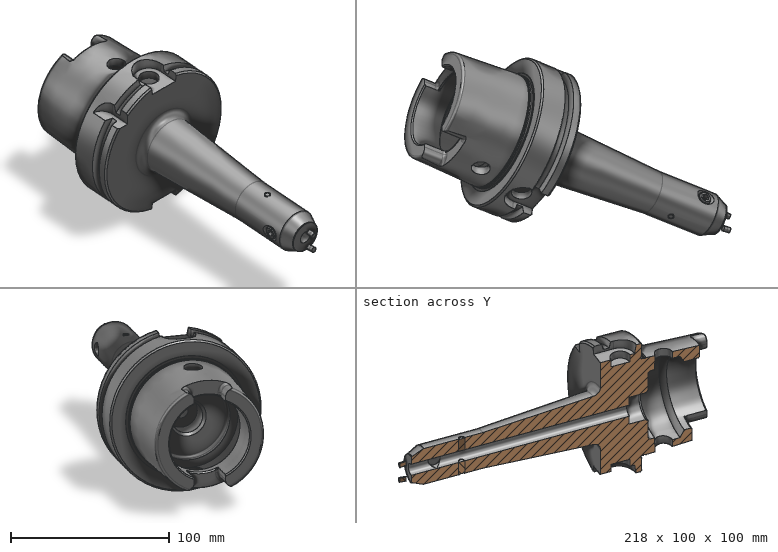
import cadquery as cq
import math


ABOVE = 1
BELOW = -1
COS_45 = math.sqrt(0.5)

SHANK_LENGTH = 50.0
SHANK_TIP_DIA = 71.7
SHANK_BASE_DIA = 75.9
SHANK_TIP_ROUND = 1.5

NECK_START = -2.8
NECK_FLOOR_START = -2.2
NECK_FLOOR_END = -1.5
NECK_END = -0.9
NECK_DEPTH = 0.5
FACE_RELIEF_DIA = 79.4
FACE_RELIEF_DEPTH = 0.5

FLANGE_DIA = 100.0
FLANGE_WIDTH = 29.0
FLANGE_CHAMFER = 1.0
GROOVE_START = 16.8
GROOVE_FLOOR_START = 18.0
GROOVE_FLOOR_END = 21.8
GROOVE_END = 23.0
GROOVE_DIA = 92.2

STEM_FILLET = 5.0
STEM_CONE_START = FLANGE_WIDTH + STEM_FILLET
STEM_BASE_DIA = 38.0
STEM_CONE_END = 110.3
STEM_DIA = 28.1
NOSE_EDGE_WIDTH = 0.7
NOSE_EDGE_DEPTH = 0.2
NOSE_START = 152.0
NOSE_END = 160.0
NOSE_DIA = 20.7
NOSE_RIM = 0.7

CLAMP_BORE_DIA = 52.8
CLAMP_BORE_CHAMFER = 0.9
CLAMP_BORE_FLOOR = -4.4
CLAMP_FLOOR_FILLET = 1.7
UNDERCUT_DIA = 63.0
UNDERCUT_START = -29.2
UNDERCUT_END = -8.7
UNDERCUT_ANGLE = 60
SOCKET_DIA = 20.5
SOCKET_CHAMFER = 1.7
SOCKET_END = 8.7
TOOL_BORE_DIA = 8.3

DRIVE_SLOT_WIDTH = 20.7
DRIVE_WALL_ROUND = 5.0
DRIVE_SHOULDER_HEIGHT = 32.5
DRIVE_FLOOR_FILLET = 1.7
DRIVE_FLOOR_CHAMFER = 0.9
UPPER_SLOT_LENGTH = 10.0
LOWER_SLOT_LENGTH = 15.3

ACCESS_HOLE_DIA = 11.8
ACCESS_HOLE_X = -15.0

KEY_SLOT_WIDTH = 19.6
KEY_SLOT_X = 15.0
KEY_SLOT_FLOOR = 43.5
KEY_SLOT_DRAFT = 10
KEY_HOLE_DIA = 12.9
KEY_HOLE_DEPTH = 5.5

NOTCH_OFFSET = 31.2
NOTCH_ROUND = 9.4
NOTCH_ROUND_X = 15.0

SCREW_X = 142.1
SCREW_DIA = 8.3
SCREW_TIP = TOOL_BORE_DIA / 2
SCREW_TOP = 13.7
SCREW_CHAMFER = 0.7
SCREW_HEX = 4.0
SCREW_HEX_DEPTH = 4.0
SINK_DIA = 12.0

PLUG_X = 125.0
PLUG_DIA = 4.0
PLUG_TOP = 13.7
PLUG_CHAMFER = 0.5

PIN_END = 218 - SHANK_LENGTH
PIN_LENGTH = 4.5
PIN_DIA = 3.5
PIN_OFFSET = 5.9
PIN_TILT = 6


def turn(profile):
    """Solid of revolution from an (X, radius) outline."""
    return profile.close().revolve(360, (0, 0, 0), (1, 0, 0))


def holder_blank():
    tip = SHANK_TIP_DIA / 2
    base = SHANK_BASE_DIA / 2
    relief = FACE_RELIEF_DIA / 2
    flange = FLANGE_DIA / 2
    groove = GROOVE_DIA / 2
    stem_base = STEM_BASE_DIA / 2
    stem = STEM_DIA / 2
    nose = NOSE_DIA / 2
    tip_round_rest = SHANK_TIP_ROUND * (1 - COS_45)
    fillet_rest = STEM_FILLET * (1 - COS_45)
    return turn(
        cq.Workplane("XZ")
        .moveTo(-SHANK_LENGTH, 0)
        .lineTo(-SHANK_LENGTH, tip - SHANK_TIP_ROUND)
        .threePointArc(
            (-SHANK_LENGTH + tip_round_rest, tip - tip_round_rest),
            (-SHANK_LENGTH + SHANK_TIP_ROUND, tip),
        )
        .lineTo(NECK_START, base)
        .lineTo(NECK_FLOOR_START, base - NECK_DEPTH)
        .lineTo(NECK_FLOOR_END, base - NECK_DEPTH)
        .lineTo(NECK_END, base)
        .lineTo(FACE_RELIEF_DEPTH, base)
        .lineTo(FACE_RELIEF_DEPTH, relief)
        .lineTo(0, relief)
        .lineTo(0, flange - FLANGE_CHAMFER)
        .lineTo(FLANGE_CHAMFER, flange)
        .lineTo(GROOVE_START, flange)
        .lineTo(GROOVE_FLOOR_START, groove)
        .lineTo(GROOVE_FLOOR_END, groove)
        .lineTo(GROOVE_END, flange)
        .lineTo(FLANGE_WIDTH - FLANGE_CHAMFER, flange)
        .lineTo(FLANGE_WIDTH, flange - FLANGE_CHAMFER)
        .lineTo(FLANGE_WIDTH, stem_base + STEM_FILLET)
        .threePointArc(
            (FLANGE_WIDTH + fillet_rest, stem_base + fillet_rest),
            (STEM_CONE_START, stem_base),
        )
        .lineTo(STEM_CONE_END, stem)
        .lineTo(NOSE_START - NOSE_EDGE_WIDTH, stem)
        .lineTo(NOSE_START, stem - NOSE_EDGE_DEPTH)
        .lineTo(NOSE_END - NOSE_RIM, nose)
        .lineTo(NOSE_END, nose)
        .lineTo(NOSE_END, 0)
    )


def axial_bores():
    """Stepped cavity: undercut clamping bore, socket and tool bore."""
    clamp = CLAMP_BORE_DIA / 2
    undercut = UNDERCUT_DIA / 2
    shoulder_length = (undercut - clamp) / math.tan(math.radians(UNDERCUT_ANGLE))
    fillet_rest = CLAMP_FLOOR_FILLET * (1 - COS_45)
    socket = SOCKET_DIA / 2
    tool = TOOL_BORE_DIA / 2
    return turn(
        cq.Workplane("XZ")
        .moveTo(-SHANK_LENGTH, 0)
        .lineTo(-SHANK_LENGTH, clamp + CLAMP_BORE_CHAMFER)
        .lineTo(-SHANK_LENGTH + CLAMP_BORE_CHAMFER, clamp)
        .lineTo(UNDERCUT_START, clamp)
        .lineTo(UNDERCUT_START + shoulder_length, undercut)
        .lineTo(UNDERCUT_END, undercut)
        .lineTo(UNDERCUT_END, clamp)
        .lineTo(CLAMP_BORE_FLOOR - CLAMP_FLOOR_FILLET, clamp)
        .threePointArc(
            (CLAMP_BORE_FLOOR - fillet_rest, clamp - fillet_rest),
            (CLAMP_BORE_FLOOR, clamp - CLAMP_FLOOR_FILLET),
        )
        .lineTo(CLAMP_BORE_FLOOR, socket + SOCKET_CHAMFER)
        .lineTo(CLAMP_BORE_FLOOR + SOCKET_CHAMFER, socket)
        .lineTo(SOCKET_END, socket)
        .lineTo(SOCKET_END, tool)
        .lineTo(NOSE_END, tool)
        .lineTo(NOSE_END, 0)
    )


def drive_slot(length):
    """Upper drive slot; it opens into the clamping bore and runs out through the shank."""
    half = DRIVE_SLOT_WIDTH / 2
    round_start = DRIVE_SHOULDER_HEIGHT - DRIVE_WALL_ROUND
    round_end = half + DRIVE_WALL_ROUND
    round_mid = round_end - DRIVE_WALL_ROUND * COS_45
    round_mid_height = round_start + DRIVE_WALL_ROUND * COS_45
    outside = SHANK_BASE_DIA / 2
    top = FLANGE_DIA / 2
    slot = (
        cq.Workplane("YZ", origin=(-SHANK_LENGTH, 0, 0))
        .moveTo(-half, 0)
        .lineTo(-half, round_start)
        .threePointArc((-round_mid, round_mid_height), (-round_end, DRIVE_SHOULDER_HEIGHT))
        .lineTo(-outside, DRIVE_SHOULDER_HEIGHT)
        .lineTo(-outside, top)
        .lineTo(outside, top)
        .lineTo(outside, DRIVE_SHOULDER_HEIGHT)
        .lineTo(round_end, DRIVE_SHOULDER_HEIGHT)
        .threePointArc((round_mid, round_mid_height), (half, round_start))
        .lineTo(half, 0)
        .close()
        .extrude(length)
        .faces(">X")
        .edges()
        .fillet(DRIVE_FLOOR_FILLET)
    )
    floor_x = length - SHANK_LENGTH
    bore = CLAMP_BORE_DIA / 2
    rim = turn(
        cq.Workplane("XZ")
        .moveTo(floor_x, 0)
        .lineTo(floor_x, bore + DRIVE_FLOOR_CHAMFER)
        .lineTo(floor_x + DRIVE_FLOOR_CHAMFER, bore)
        .lineTo(floor_x + DRIVE_FLOOR_CHAMFER, 0)
    )
    rim = rim.intersect(
        cq.Workplane("XY", origin=(floor_x, 0, 0)).rect(bore, DRIVE_SLOT_WIDTH).extrude(FLANGE_DIA)
    )
    return slot.union(rim)


def access_hole():
    return cq.Workplane("XY").center(ACCESS_HOLE_X, 0).circle(ACCESS_HOLE_DIA / 2).extrude(FLANGE_DIA, both=True)


def key_slot():
    """Upper key slot, open through the stem side of the flange, and the blind hole in its floor."""
    half = KEY_SLOT_WIDTH / 2
    open_end = FLANGE_WIDTH + KEY_SLOT_WIDTH
    floor = cq.Workplane("XY", origin=(0, 0, KEY_SLOT_FLOOR))
    slot = (
        floor.moveTo(open_end, -half)
        .lineTo(KEY_SLOT_X, -half)
        .threePointArc((KEY_SLOT_X - half, 0), (KEY_SLOT_X, half))
        .lineTo(open_end, half)
        .close()
        .extrude(FLANGE_DIA / 2 - KEY_SLOT_FLOOR, taper=-KEY_SLOT_DRAFT)
    )
    hole = floor.center(KEY_SLOT_X, 0).circle(KEY_HOLE_DIA / 2).extrude(-KEY_HOLE_DEPTH)
    return slot.union(hole)


def corner_notch():
    outside = FLANGE_DIA / 2
    round_end = NOTCH_ROUND_X - NOTCH_ROUND
    round_rest = NOTCH_ROUND * (1 - COS_45)
    return (
        cq.Workplane("XY", origin=(0, 0, NOTCH_OFFSET))
        .moveTo(FLANGE_WIDTH, -NOTCH_OFFSET)
        .lineTo(NOTCH_ROUND_X, -NOTCH_OFFSET)
        .threePointArc(
            (round_end + round_rest, -NOTCH_OFFSET - round_rest),
            (round_end, -NOTCH_OFFSET - NOTCH_ROUND),
        )
        .lineTo(round_end, -outside)
        .lineTo(FLANGE_WIDTH, -outside)
        .close()
        .extrude(outside)
    )


def screw_hole():
    """Hole across the stem with a 45 degree countersink on the -Y side."""
    hole = cq.Workplane("XZ").center(SCREW_X, 0).circle(SCREW_DIA / 2).extrude(STEM_DIA, both=True)
    sink_bottom = (STEM_DIA - SINK_DIA) / 2
    sink = cq.Solid.makeCone(
        0, STEM_DIA / 2 - sink_bottom, STEM_DIA / 2 - sink_bottom,
        cq.Vector(SCREW_X, -sink_bottom, 0), cq.Vector(0, -1, 0),
    )
    return hole.union(cq.Workplane(sink))


def plug_holes():
    return cq.Workplane("XY").center(PLUG_X, 0).circle(PLUG_DIA / 2).extrude(STEM_DIA, both=True)


def make_holder():
    holder = holder_blank().cut(axial_bores())
    holder = holder.cut(drive_slot(UPPER_SLOT_LENGTH))
    holder = holder.cut(drive_slot(LOWER_SLOT_LENGTH).mirror("XY"))
    holder = holder.cut(access_hole())
    holder = holder.cut(key_slot()).cut(key_slot().mirror("XY"))
    holder = holder.cut(corner_notch())
    holder = holder.cut(screw_hole())
    return holder.cut(plug_holes())


def make_screw():
    return (
        cq.Workplane("XZ", origin=(SCREW_X, -SCREW_TIP, 0))
        .circle(SCREW_DIA / 2)
        .extrude(SCREW_TOP - SCREW_TIP)
        .faces("<Y")
        .chamfer(SCREW_CHAMFER)
        .faces("<Y")
        .workplane()
        .polygon(6, SCREW_HEX, circumscribed=True)
        .cutBlind(-SCREW_HEX_DEPTH)
    )


def make_plug(side):
    bottom = TOOL_BORE_DIA / 2
    plug = (
        cq.Workplane("XY", origin=(PLUG_X, 0, bottom))
        .circle(PLUG_DIA / 2)
        .extrude(PLUG_TOP - bottom)
        .faces(">Z")
        .chamfer(PLUG_CHAMFER)
    )
    return plug if side == ABOVE else plug.mirror("XY")


def make_pin(side):
    tilt = math.radians(PIN_TILT)
    reach = PIN_LENGTH / 2 * math.cos(tilt) + PIN_DIA / 2 * math.sin(tilt)
    return (
        cq.Workplane("YZ")
        .circle(PIN_DIA / 2)
        .extrude(PIN_LENGTH / 2, both=True)
        .rotate((0, 0, 0), (0, 1, 0), side * PIN_TILT)
        .translate((PIN_END - reach, 0, side * PIN_OFFSET))
    )


holder = make_holder()
screw = make_screw()
plugs = [make_plug(side).val() for side in (ABOVE, BELOW)]
pins = [make_pin(side).val() for side in (ABOVE, BELOW)]

result = cq.Compound.makeCompound([holder.val(), screw.val(), *plugs, *pins])